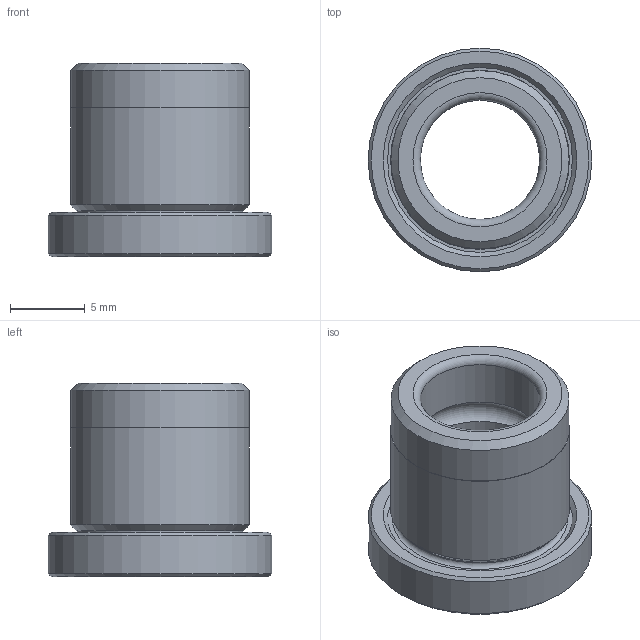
import cadquery as cq

flange_radius = 7.5
flange_height = 3.0
flange_chamfer = 0.2

shank_radius = 6.0
total_height = 13.0
lead_start_height = 10.0
lead_radius = 5.98
shank_end_radius = 5.5
lead_chamfer = lead_radius - shank_end_radius

bore_radius = 4.0
mouth_fillet = 0.5

groove_height = 8.65
groove_half_width = 0.8
groove_depth = 0.5

relief_reach = 0.5
relief_neck_depth = 0.4
relief_floor_depth = 0.3
relief_fillet = 0.3


def turned(section):
    """Revolve a closed XZ section fully around the Z axis."""
    return section.revolve(360, (0, 0, 0), (0, 1, 0))


def bushing_body():
    """Flange and shank as one revolved outline with a plain bore."""
    outline = (
        cq.Workplane("XZ")
        .moveTo(bore_radius, 0)
        .lineTo(flange_radius - flange_chamfer, 0)
        .lineTo(flange_radius, flange_chamfer)
        .lineTo(flange_radius, flange_height - flange_chamfer)
        .lineTo(flange_radius - flange_chamfer, flange_height)
        .lineTo(shank_radius, flange_height)
        .lineTo(shank_radius, lead_start_height)
        .lineTo(lead_radius, lead_start_height)
        .lineTo(lead_radius, total_height - lead_chamfer)
        .lineTo(shank_end_radius, total_height)
        .lineTo(bore_radius + mouth_fillet, total_height)
        .radiusArc((bore_radius, total_height - mouth_fillet), -mouth_fillet)
        .close()
    )
    return turned(outline)


def corner_relief():
    """Ring cut with 45-degree flanks, a flat floor and a rounded inner corner."""
    shank_edge = (shank_radius, flange_height + relief_reach)
    flange_edge = (shank_radius + relief_reach, flange_height)
    neck_radius = shank_radius - relief_neck_depth
    floor_height = flange_height - relief_floor_depth
    section = (
        cq.Workplane("XZ")
        .moveTo(*shank_edge)
        .lineTo(neck_radius, shank_edge[1] - relief_neck_depth)
        .lineTo(neck_radius, floor_height + relief_fillet)
        .radiusArc((neck_radius + relief_fillet, floor_height), -relief_fillet)
        .lineTo(flange_edge[0] - relief_floor_depth, floor_height)
        .lineTo(*flange_edge)
        .lineTo(flange_edge[0], shank_edge[1])
        .close()
    )
    return turned(section)


def bore_groove():
    """Ring cut of circular-segment section in the bore wall."""
    section = (
        cq.Workplane("XZ")
        .moveTo(bore_radius, groove_height - groove_half_width)
        .threePointArc(
            (bore_radius + groove_depth, groove_height),
            (bore_radius, groove_height + groove_half_width),
        )
        .close()
    )
    return turned(section)


result = bushing_body().cut(corner_relief()).cut(bore_groove())